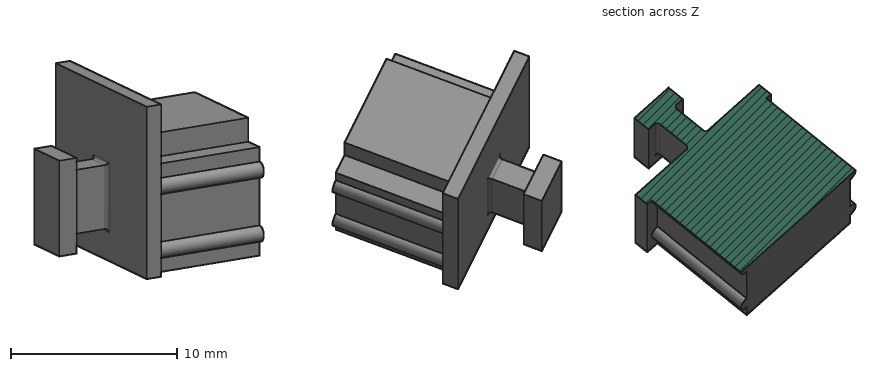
import cadquery as cq

plate_side = 10.8
plate_thickness = 1.0

plug_length = 7.4
plug_width = 9.02
shoulder_height = 6.8
step_width = 6.35
plug_height = 8.3

rib_radius = 0.5
lower_rib_height = 1.395
rib_spacing = 4.0
rib_heights = (lower_rib_height, lower_rib_height + rib_spacing)

handle_height = 4.0
stem_width = 1.5
stem_depth = 4.0
stem_length = 2.6
stem_fillet = 0.2
grip_width = 3.0
grip_depth = 6.0
grip_thickness = 1.2


def block(width, height, y_start, y_end, z_bottom=0.0):
    """Box centred on X, resting on z_bottom and running from y_start to y_end."""
    return (
        cq.Workplane("XY")
        .box(width, y_end - y_start, height, centered=(True, False, False))
        .translate((0, y_start, z_bottom))
    )


def make_plug():
    body = block(plug_width, shoulder_height, 0, plug_length)
    step = block(step_width, plug_height, 0, plug_length)
    return body.union(step)


def make_rib(x, z):
    """Round bar along Y, half sunk into the side of the plug."""
    return cq.Workplane("XZ", origin=(x, 0, z)).circle(rib_radius).extrude(-plug_length)


def make_handle_part(width, depth, y_start, y_end):
    """Box centred on the handle axis."""
    return block(width, depth, y_start, y_end, handle_height - depth / 2)


plate_front = -plate_thickness
grip_back = plate_front - stem_length
grip_front = grip_back - grip_thickness

half_width = stem_width / 2 + stem_fillet
half_depth = stem_depth / 2 + stem_fillet
stem_region = cq.selectors.BoxSelector(
    (-half_width, grip_back - stem_fillet, handle_height - half_depth),
    (half_width, plate_front + stem_fillet, handle_height + half_depth),
)

result = (
    block(plate_side, plate_side, plate_front, 0)
    .union(make_handle_part(stem_width, stem_depth, grip_back, plate_front))
    .union(make_handle_part(grip_width, grip_depth, grip_front, grip_back))
    .edges(stem_region)
    .edges("#Y")
    .fillet(stem_fillet)
)

result = result.union(make_plug())
for side in (-1, 1):
    for rib_height in rib_heights:
        result = result.union(make_rib(side * plug_width / 2, rib_height))